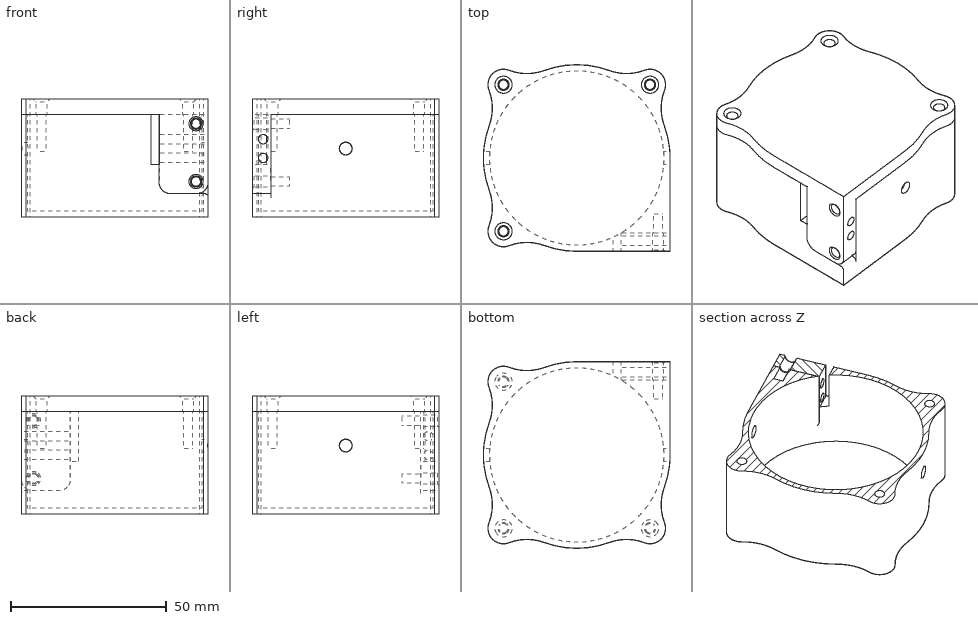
import cadquery as cq
import math

SIZE = 60.0
HEIGHT = 38.0
HALF = SIZE / 2
LID_THICKNESS = 5.0
HOUSING_HEIGHT = HEIGHT - LID_THICKNESS

BOSS_OFFSET = 23.5
BOSS_RADIUS = 10.0 / 2
BLEND_RADIUS = 32.0 / 2

CAVITY_RADIUS = 56.0 / 2
FLOOR_THICKNESS = HALF - CAVITY_RADIUS

BLOCK_WIDTH = 15.8
BLOCK_DEPTH = 6.0
BLOCK_BOTTOM = 7.55
BLOCK_CORNER_RADIUS = 3.65
NOTCH_LIP_RADIUS = 1.2
BLOCK_LEFT = HALF - BLOCK_WIDTH

SLOT_WIDTH = 2.65
SLOT_HEIGHT = 16.0

CLEARANCE_DIAMETER = 3.6
THREAD_DIAMETER = 3.0
LID_SINK_DIAMETER = 5.5
BLOCK_SINK_DIAMETER = 4.55
SINK_ANGLE = 90.0
LID_THREAD_DEPTH = 12.0
BLOCK_THREAD_DEPTH = 6.0
BLOCK_SCREW_MARGIN = 3.9
BLOCK_SCREW_DROP = 8.0
BLOCK_SCREW_X = HALF - BLOCK_SCREW_MARGIN
BLOCK_SCREW_HEIGHTS = (BLOCK_BOTTOM + BLOCK_SCREW_MARGIN, HEIGHT - BLOCK_SCREW_DROP)

CROSS_HOLE_DIAMETER = 4.0
CROSS_HOLE_HEIGHT = 22.0
BLOCK_HOLE_DIAMETER = 3.0
BLOCK_HOLE_SPACING = 6.0
BLOCK_HOLE_SETBACK = 3.5

UP = cq.Vector(0, 0, 1)
DOWN = cq.Vector(0, 0, -1)
INWARD = cq.Vector(0, 1, 0)
RIGHTWARD = cq.Vector(1, 0, 0)

BOSS_ANGLES = (45, 135, 225)
BOSS_DISTANCE = BOSS_OFFSET * math.sqrt(2)


def polar(radius, degrees):
    """Point in the XY plane at a distance and an angle from the drum's axis."""
    angle = math.radians(degrees)
    return cq.Vector(radius * math.cos(angle), radius * math.sin(angle))


def blend_swing():
    """Angle between a boss and the center of the hollow arc that joins it to the drum.

    The drum axis, the boss and that center form a triangle whose three sides are known.
    """
    drum_reach = HALF + BLEND_RADIUS
    boss_reach = BOSS_RADIUS + BLEND_RADIUS
    cosine = (drum_reach**2 + BOSS_DISTANCE**2 - boss_reach**2) / (2 * drum_reach * BOSS_DISTANCE)
    return math.degrees(math.acos(cosine))


def blend_arc(boss_angle, swing):
    """Points on the drum, on the middle of the hollow arc, and on the boss."""
    blend_center = polar(HALF + BLEND_RADIUS, boss_angle + swing)
    boss_center = polar(BOSS_DISTANCE, boss_angle)
    on_drum = polar(HALF, boss_angle + swing)
    on_boss = boss_center + (blend_center - boss_center).normalized() * BOSS_RADIUS
    chord_middle = (on_drum + on_boss) * 0.5
    on_blend = blend_center + (chord_middle - blend_center).normalized() * BLEND_RADIUS
    return on_drum, on_blend, on_boss


def outline_prism(bottom, height):
    """Prism of the wavy outline, whose +X -Y corner is square."""
    swing = blend_swing()
    outline = cq.Workplane("XY").workplane(offset=bottom).moveTo(HALF, -HALF).lineTo(HALF, 0)
    drum_angle = 0
    for boss_angle in BOSS_ANGLES:
        drum_end, blend_in, boss_start = blend_arc(boss_angle, -swing)
        drum_start, blend_out, boss_end = blend_arc(boss_angle, swing)
        drum_middle = polar(HALF, (drum_angle + boss_angle - swing) / 2)
        boss_tip = polar(BOSS_DISTANCE + BOSS_RADIUS, boss_angle)
        outline = (
            outline.threePointArc(drum_middle, drum_end)
            .threePointArc(blend_in, boss_start)
            .threePointArc(boss_tip, boss_end)
            .threePointArc(blend_out, drum_start)
        )
        drum_angle = boss_angle + swing
    front_angle = 270
    outline = outline.threePointArc(polar(HALF, (drum_angle + front_angle) / 2), (0, -HALF))
    return outline.close().extrude(height)


def cylinder(start, direction, diameter, length):
    """Round bar or hole cutter that begins at a point and runs along a direction."""
    return cq.Workplane(cq.Solid.makeCylinder(diameter / 2, length, start, direction))


def sunk_hole(start, direction, sink_diameter, length):
    """Cutter for a clearance hole with a conical countersink at its start."""
    sink_depth = (sink_diameter - CLEARANCE_DIAMETER) / 2 / math.tan(math.radians(SINK_ANGLE / 2))
    sink = cq.Solid.makeCone(sink_diameter / 2, CLEARANCE_DIAMETER / 2, sink_depth, start, direction)
    return cylinder(start, direction, CLEARANCE_DIAMETER, length).union(cq.Workplane(sink))


def corner_block():
    """Block under the lid with both lower corners rounded."""
    return (
        cq.Workplane("XY")
        .box(BLOCK_WIDTH, BLOCK_DEPTH, HEIGHT - BLOCK_BOTTOM, centered=False)
        .translate((BLOCK_LEFT, -HALF, BLOCK_BOTTOM))
        .edges("|Y and <Z")
        .fillet(BLOCK_CORNER_RADIUS)
    )


def corner_notch():
    """Cutter for the notch: fits the block on the left and flares out at the +X side."""
    return (
        cq.Workplane("XZ", origin=(0, -HALF, 0))
        .moveTo(BLOCK_LEFT, HEIGHT)
        .lineTo(BLOCK_LEFT, BLOCK_BOTTOM + BLOCK_CORNER_RADIUS)
        .radiusArc((BLOCK_LEFT + BLOCK_CORNER_RADIUS, BLOCK_BOTTOM), -BLOCK_CORNER_RADIUS)
        .lineTo(HALF - NOTCH_LIP_RADIUS, BLOCK_BOTTOM)
        .radiusArc((HALF, BLOCK_BOTTOM - NOTCH_LIP_RADIUS), NOTCH_LIP_RADIUS)
        .lineTo(HALF, HEIGHT)
        .close()
        .extrude(-BLOCK_DEPTH)
    )


def wall_slot():
    """Cutter that opens the front wall into the cavity, up to the lid."""
    return (
        cq.Workplane("XY")
        .box(SLOT_WIDTH, HALF, SLOT_HEIGHT, centered=False)
        .translate((BLOCK_LEFT - SLOT_WIDTH, -HALF, HOUSING_HEIGHT - SLOT_HEIGHT))
    )


def make_housing():
    """Open-topped drum with the corner notch, wall slot and screw threads."""
    body = outline_prism(0, HOUSING_HEIGHT)
    body = body.cut(cylinder(cq.Vector(0, 0, FLOOR_THICKNESS), UP, 2 * CAVITY_RADIUS, HOUSING_HEIGHT))
    body = body.cut(corner_notch())
    body = body.cut(wall_slot())

    cross_start = cq.Vector(-HALF, 0, CROSS_HOLE_HEIGHT)
    body = body.cut(cylinder(cross_start, RIGHTWARD, CROSS_HOLE_DIAMETER, SIZE))

    for boss_angle in BOSS_ANGLES:
        top = polar(BOSS_DISTANCE, boss_angle) + UP * HOUSING_HEIGHT
        body = body.cut(cylinder(top, DOWN, THREAD_DIAMETER, LID_THREAD_DEPTH))

    for height in BLOCK_SCREW_HEIGHTS:
        start = cq.Vector(BLOCK_SCREW_X, BLOCK_DEPTH - HALF, height)
        body = body.cut(cylinder(start, INWARD, THREAD_DIAMETER, BLOCK_THREAD_DEPTH))
    return body


def make_lid():
    """Flat lid with the corner block hanging from it."""
    body = outline_prism(HOUSING_HEIGHT, LID_THICKNESS).union(corner_block())

    for boss_angle in BOSS_ANGLES:
        top = polar(BOSS_DISTANCE, boss_angle) + UP * HEIGHT
        body = body.cut(sunk_hole(top, DOWN, LID_SINK_DIAMETER, LID_THICKNESS))

    for height in BLOCK_SCREW_HEIGHTS:
        start = cq.Vector(BLOCK_SCREW_X, -HALF, height)
        body = body.cut(sunk_hole(start, INWARD, BLOCK_SINK_DIAMETER, BLOCK_DEPTH))

    for side in (-1, 1):
        height = CROSS_HOLE_HEIGHT + side * BLOCK_HOLE_SPACING / 2
        start = cq.Vector(BLOCK_LEFT, BLOCK_HOLE_SETBACK - HALF, height)
        body = body.cut(cylinder(start, RIGHTWARD, BLOCK_HOLE_DIAMETER, BLOCK_WIDTH))
    return body


housing = make_housing()
lid = make_lid()
result = cq.Compound.makeCompound([housing.val(), lid.val()])